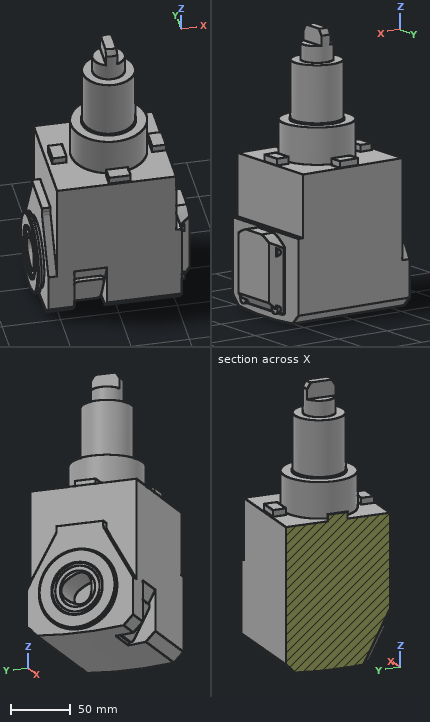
import cadquery as cq
import math


housing_height = 131.8
housing_width = 96.0
half_width = housing_width / 2
housing_left = -54.2
housing_right = 48.0
edge_bevel = 8.5
bevel_top = 10.5
bevel_bottom = bevel_top - edge_bevel
foot_right = 52.7
foot_height = 76.9

plate_left = -61.5
plate_top = 96.0
plate_top_half_width = 21.0
plate_shoulder = 90.8
plate_slope_bottom = 43.7
plate_corner_radius = 5.5

key_width = 18.5
key_depth = 12.0
key_height = 5.9
key_offset_y = 40.5
key_left_x = -44.0
key_right_x = 41.5

collar_diameter = 65.0
collar_top = 164.0
shaft_diameter = 45.0
shaft_top = 215.2
flare = 0.7
flare_height = 1.2
tip_diameter = 27.8
tip_top = 244.0
tang_bottom = 229.5
tang_thickness = 9.5
tang_taper_width = 3.2
tang_taper_height = 5.4

spindle_z = 37.0
nose_left = -68.0
nose_diameter = 70.0
nose_thickness = 3.5
nose_chamfer = 1.2
neck_diameter = 62.0
recess_steps = [(45.0, 0.7), (40.0, 1.0), (31.7, 1.2)]
mouth_flare = 0.7
socket_radius = 13.7
socket_lobe = 1.1
socket_depth = 29.3
socket_taper = 0.025
socket_points = 36

cap_right = 65.0
cap_base_thickness = 1.5
cap_top = 75.2
cap_diameter = 79.5
cap_half_width = 28.3
cap_bottom = 7.3
cap_bevel = cap_right - foot_right - cap_base_thickness
cap_slope = math.radians(30)
screw_diameter = 8.5
screw_spacing_y = 45.9
screw_spacing_z = 49.3
screw_end = 59.5

pocket_left = -39.3
pocket_right = -11.2
pocket_top = 46.5
pocket_depth = 24.6
pocket_slope = math.atan2(pocket_depth, pocket_top)
pad_left = -38.5
pad_right = -12.7
pad_start = 14.0
pad_end = 49.3
pad_thickness = 3.2
pad_corner_radius = 4.1


def disc(diameter, left, length):
    """Cylinder on the spindle axis, running toward +X from the given X."""
    plane = cq.Workplane("YZ", origin=(left, 0, spindle_z))
    return plane.circle(diameter / 2).extrude(length)


def shaft_cylinder(diameter, bottom, top):
    return cq.Workplane("XY").workplane(offset=bottom).circle(diameter / 2).extrude(top - bottom)


def lower_section(left, right):
    """Full-width base with bevelled lower edges and a slightly bowed underside."""
    flat_half = half_width - edge_bevel
    return (
        cq.Workplane("YZ", origin=(left, 0, 0))
        .moveTo(-half_width, plate_slope_bottom)
        .lineTo(-half_width, bevel_top)
        .lineTo(-flat_half, bevel_bottom)
        .threePointArc((0, 0), (flat_half, bevel_bottom))
        .lineTo(half_width, bevel_top)
        .lineTo(half_width, plate_slope_bottom)
        .close()
        .extrude(right - left)
    )


def block(left, right, bottom, top):
    size = (right - left, housing_width, top - bottom)
    return cq.Workplane("XY").box(*size, centered=(False, True, False)).translate((left, 0, bottom))


def side_plate():
    outline = [
        (-half_width, plate_slope_bottom),
        (-plate_top_half_width, plate_shoulder),
        (-plate_top_half_width, plate_top),
        (plate_top_half_width, plate_top),
        (plate_top_half_width, plate_shoulder),
        (half_width, plate_slope_bottom),
    ]
    plate = cq.Workplane("YZ", origin=(plate_left, 0, 0)).polyline(outline).close()
    plate = plate.extrude(housing_left - plate_left)
    margin = 0.2
    shoulders = cq.selectors.BoxSelector(
        (plate_left - margin, -half_width, plate_shoulder - margin),
        (housing_left + margin, half_width, plate_shoulder + margin),
    )
    return plate.edges("|X").edges(shoulders).fillet(plate_corner_radius)


def housing():
    body = lower_section(plate_left, foot_right)
    body = body.union(block(housing_left, foot_right, plate_slope_bottom, foot_height))
    body = body.union(block(housing_left, housing_right, foot_height, housing_height))
    return body.union(side_plate())


def key(x, y, size_x, size_y):
    base = cq.Workplane("XY", origin=(x, y, housing_height))
    return base.rect(size_x, size_y).extrude(key_height)


def keys():
    all_keys = key(key_left_x, 0, key_depth, key_width)
    all_keys = all_keys.union(key(key_right_x, 0, key_depth, key_width))
    for y in (-key_offset_y, key_offset_y):
        all_keys = all_keys.union(key(0, y, key_width, key_depth))
    return all_keys


def drive_shaft():
    collar = shaft_cylinder(collar_diameter, housing_height, collar_top)
    shaft = shaft_cylinder(shaft_diameter, collar_top, shaft_top)
    shaft_radius = shaft_diameter / 2
    foot = cq.Solid.makeCone(shaft_radius + flare, shaft_radius, flare_height, pnt=(0, 0, collar_top))
    tip = shaft_cylinder(tip_diameter, shaft_top, tip_top)
    tip = tip.faces(">Z").chamfer(tang_taper_height, tang_taper_width)
    tang = cq.Workplane("XY", origin=(0, 0, shaft_top))
    tang = tang.rect(tang_thickness, tip_diameter).extrude(tip_top - shaft_top)
    tang = tang.union(shaft_cylinder(tip_diameter, shaft_top, tang_bottom))
    return collar.union(shaft).union(cq.Workplane(obj=foot)).union(tip.intersect(tang))


def socket_outline(radius):
    """Three-lobed outline with one lobe toward +Y."""
    points = []
    for i in range(socket_points):
        angle = 2 * math.pi * i / socket_points
        r = radius + socket_lobe * math.cos(3 * angle)
        points.append((r * math.cos(angle), r * math.sin(angle)))
    return points


def spindle_nose(body):
    nose = disc(nose_diameter, nose_left, nose_thickness).faces("<X").chamfer(nose_chamfer)
    neck = disc(neck_diameter, nose_left + nose_thickness, plate_left - nose_left - nose_thickness)
    body = body.union(nose).union(neck)
    mouth_diameter, mouth_depth = recess_steps[0]
    mouth_radius = mouth_diameter / 2
    mouth = cq.Solid.makeCone(
        mouth_radius + mouth_flare,
        mouth_radius,
        mouth_depth,
        pnt=(nose_left, 0, spindle_z),
        dir=(1, 0, 0),
    )
    body = body.cut(cq.Workplane(obj=mouth))
    for diameter, depth in recess_steps:
        body = body.cut(disc(diameter, nose_left, depth))
    socket = (
        cq.Workplane("YZ", origin=(nose_left, 0, spindle_z))
        .spline(socket_outline(socket_radius), periodic=True)
        .close()
        .workplane(offset=socket_depth)
        .spline(socket_outline(socket_radius - socket_taper * socket_depth), periodic=True)
        .close()
        .loft()
    )
    return body.cut(socket)


def end_cap():
    cap = disc(cap_diameter, foot_right, cap_right - foot_right)
    lean = cap_bevel * math.tan(cap_slope)
    bevel_start = cap_right - cap_bevel
    plan = [
        (foot_right, -cap_half_width),
        (bevel_start, -cap_half_width),
        (cap_right, lean - cap_half_width),
        (cap_right, cap_half_width - lean),
        (bevel_start, cap_half_width),
        (foot_right, cap_half_width),
    ]
    cap = cap.intersect(cq.Workplane("XY").polyline(plan).close().extrude(cap_top))
    side = [
        (foot_right, cap_bottom),
        (bevel_start, cap_bottom),
        (cap_right, cap_bottom + cap_bevel),
        (cap_right, cap_top),
        (foot_right, cap_top),
    ]
    cap = cap.intersect(cq.Workplane("XZ").polyline(side).close().extrude(cap_half_width, both=True))
    screws = (
        cq.Workplane("YZ", origin=(foot_right, 0, spindle_z))
        .rect(screw_spacing_y, screw_spacing_z, forConstruction=True)
        .vertices()
        .circle(screw_diameter / 2)
        .extrude(screw_end - foot_right)
    )
    return cap.union(screws)


def pocket():
    wedge = [(-half_width, pocket_top), (-half_width, 0), (pocket_depth - half_width, 0)]
    cutter = cq.Workplane("YZ", origin=(pocket_left, 0, 0)).polyline(wedge).close()
    return cutter.extrude(pocket_right - pocket_left)


def pocket_pad():
    """Rounded pad lying on the sloping back of the pocket."""
    back = cq.Plane(
        origin=((pad_left + pad_right) / 2, -half_width, pocket_top),
        xDir=(1, 0, 0),
        normal=(0, -math.cos(pocket_slope), -math.sin(pocket_slope)),
    )
    pad = (
        cq.Workplane(back)
        .center(0, -(pad_start + pad_end) / 2)
        .rect(pad_right - pad_left, pad_end - pad_start)
        .extrude(pad_thickness)
    )
    return pad.edges(cq.selectors.ParallelDirSelector(back.zDir)).fillet(pad_corner_radius)


result = housing().union(keys()).union(drive_shaft()).union(end_cap())
result = spindle_nose(result)
result = result.cut(pocket()).union(pocket_pad())